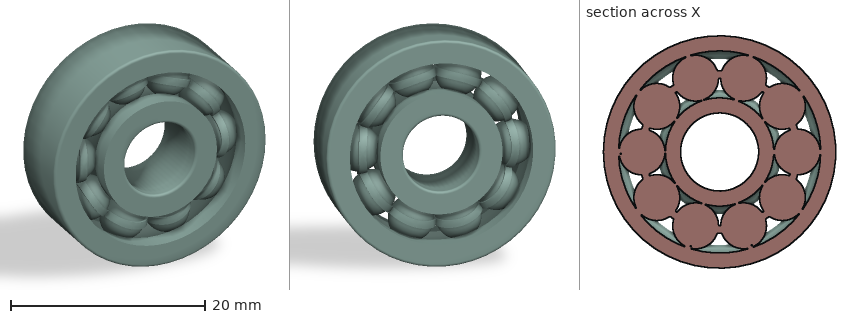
import cadquery as cq

outer_diameter = 24.0
width = outer_diameter / 3
bore_diameter = outer_diameter / 3

outer_ring_bore = 19.2
inner_ring_diameter = 12.8
edge_radius = 0.3

ball_count = 10
ball_diameter = 4.8
pitch_radius = (outer_ring_bore + inner_ring_diameter) / 4

ball_overlap = 0.005
raceway_radius = ball_diameter / 2 - ball_overlap

cage_shell = 0.25
cage_inner_diameter = 15.2
cage_outer_diameter = 16.8


def tube(outer_radius, inner_radius, length):
    """Hollow cylinder along X, centred on the origin."""
    end_plane = cq.Workplane("YZ", origin=(-length / 2, 0, 0))
    return end_plane.circle(outer_radius).circle(inner_radius).extrude(length)


def outer_ring():
    ring = tube(outer_diameter / 2, outer_ring_bore / 2, width)
    outer_rims = cq.selectors.RadiusNthSelector(-1)
    return ring.edges(outer_rims).fillet(edge_radius)


def inner_ring():
    ring = tube(inner_ring_diameter / 2, bore_diameter / 2, width)
    bore_rims = cq.selectors.RadiusNthSelector(0)
    return ring.edges(bore_rims).fillet(edge_radius)


def raceway():
    """Circular groove shape that the balls run in."""
    return cq.Workplane(cq.Solid.makeTorus(pitch_radius, raceway_radius, dir=cq.Vector(1, 0, 0)))


def spheres(radius):
    """One sphere at each ball position around the pitch circle."""
    positions = cq.Workplane("YZ").polarArray(pitch_radius, 0, 360, ball_count)
    return positions.sphere(radius)


def cage():
    band = tube(cage_outer_diameter / 2, cage_inner_diameter / 2, width)
    return spheres(ball_diameter / 2 + cage_shell).intersect(band)


rings = outer_ring().union(inner_ring()).cut(raceway())
balls = spheres(ball_diameter / 2)
result = rings.union(balls).union(cage())